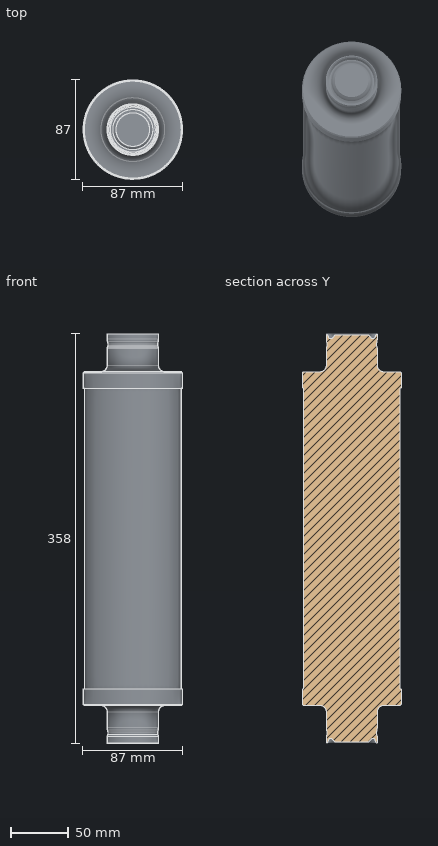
import cadquery as cq
import math

total_length = 358.0
body_diameter = 85.0
cap_diameter = 87.0
cap_height = 14.5
cap_edge_chamfer = 1.0

spigot_diameter = 45.0
spigot_length = 33.0
root_fillet = 5.5

groove_depth = 0.7
groove_taper_depth = 0.18
groove_taper_width = 2.0
groove_wall_width = 2.0
groove_floor_width = 1.8
groove_lower_wall_width = 1.8
upper_groove_end_distance = 4.3
lower_groove_end_distance = 6.0

rim_chamfer_outer_radius = 22.0
rim_chamfer_inner_radius = 20.8
rim_chamfer_depth = 1.0
recess_floor_radius = 19.7
recess_depth = 4.0
plug_base_radius = 17.5
plug_top_radius = 14.5
plug_height = 3.2

half_length = total_length / 2
body_radius = body_diameter / 2
cap_radius = cap_diameter / 2
spigot_radius = spigot_diameter / 2
cap_face_z = half_length - spigot_length
cap_bottom_z = cap_face_z - cap_height


def revolve_about_z(outline):
    """Turn a closed (radius, z) outline through a full circle about Z."""
    return outline.close().revolve(360, (0, 0, 0), (0, 1, 0))


def end_piece():
    """Upper end cap with its spigot."""
    fillet_offset = root_fillet * (1 - math.sqrt(0.5))
    floor_z = half_length - recess_depth
    plug_top_z = floor_z + plug_height
    outline = (
        cq.Workplane("XZ")
        .moveTo(0, cap_bottom_z)
        .lineTo(cap_radius, cap_bottom_z)
        .lineTo(cap_radius, cap_face_z - cap_edge_chamfer)
        .lineTo(cap_radius - cap_edge_chamfer, cap_face_z)
        .lineTo(spigot_radius + root_fillet, cap_face_z)
        .threePointArc(
            (spigot_radius + fillet_offset, cap_face_z + fillet_offset),
            (spigot_radius, cap_face_z + root_fillet),
        )
        .lineTo(spigot_radius, half_length)
        .lineTo(rim_chamfer_outer_radius, half_length)
        .lineTo(rim_chamfer_inner_radius, half_length - rim_chamfer_depth)
        .lineTo(recess_floor_radius, floor_z)
        .lineTo(plug_base_radius, floor_z)
        .lineTo(plug_top_radius, plug_top_z)
        .lineTo(0, plug_top_z)
    )
    return revolve_about_z(outline)


def groove_ring(top_z):
    """Ring of material to remove for a spigot groove that starts at top_z and runs down."""
    outside_radius = spigot_radius + groove_depth
    floor_radius = spigot_radius - groove_depth
    taper_end_z = top_z - groove_taper_width
    floor_top_z = taper_end_z - groove_wall_width
    floor_bottom_z = floor_top_z - groove_floor_width
    bottom_z = floor_bottom_z - groove_lower_wall_width
    outline = (
        cq.Workplane("XZ")
        .moveTo(spigot_radius, top_z)
        .lineTo(spigot_radius - groove_taper_depth, taper_end_z)
        .lineTo(floor_radius, floor_top_z)
        .lineTo(floor_radius, floor_bottom_z)
        .lineTo(spigot_radius, bottom_z)
        .lineTo(outside_radius, bottom_z)
        .lineTo(outside_radius, top_z)
    )
    return revolve_about_z(outline)


groove_width = groove_taper_width + groove_wall_width + groove_floor_width + groove_lower_wall_width
upper_groove_z = half_length - upper_groove_end_distance
lower_groove_z = -half_length + lower_groove_end_distance + groove_width

body = cq.Workplane("XY").cylinder(2 * cap_bottom_z, body_radius)
upper_end = end_piece()
result = body.union(upper_end).union(upper_end.mirror("XY"))
for groove_z in (upper_groove_z, lower_groove_z):
    result = result.cut(groove_ring(groove_z))